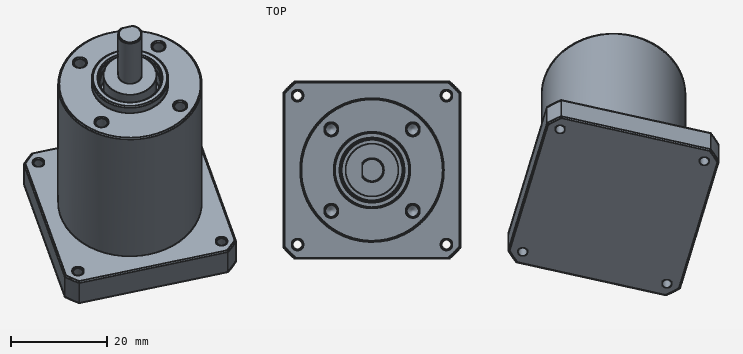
import cadquery as cq
import math

flange_width = 37.0
flange_height = 7.0
flange_corner_diameter = 49.0
flange_edge_chamfer = 0.3
flange_hole_spacing = 31.0
flange_hole_diameter = 2.01
flange_hole_mouth_diameter = 2.5

body_diameter = 30.0
body_height = 37.5
body_chamfer = 0.3
boss_diameter = 16.0
boss_height = 2.0
boss_chamfer = 0.3

seat_diameter = 13.0
seat_depth = 1.7
seat_mouth_diameter = 13.6
bore_diameter = 12.6
bore_depth = 5.0

face_hole_circle_diameter = 24.0
face_hole_count = 4
face_hole_first_angle = 45.0
face_hole_diameter = 2.46
face_hole_mouth_diameter = 3.0
face_hole_depth = 6.0
drill_point_angle = 118.0

shaft_diameter = 5.0
shaft_length = 13.0
shaft_chamfer = 0.2
shaft_flat_offset = 2.0
collar_diameter = 11.0
collar_rise = 1.0

body_top = flange_height + body_height
boss_top = body_top + boss_height
seat_floor = boss_top - seat_depth
bore_floor = boss_top - bore_depth
collar_top = boss_top + collar_rise
shaft_top = collar_top + shaft_length


def cylinder(diameter, bottom, top):
    return cq.Workplane("XY").workplane(offset=bottom).circle(diameter / 2).extrude(top - bottom)


def mouth_cone(diameter, mouth_diameter, top):
    """45-degree cone that breaks the edge of a hole opening at the given height."""
    mouth_radius = mouth_diameter / 2
    depth = (mouth_diameter - diameter) / 2
    cone = cq.Solid.makeCone(mouth_radius, mouth_radius - depth, depth, dir=cq.Vector(0, 0, -1))
    return cq.Workplane(cone).translate((0, 0, top))


def make_flange():
    """Square plate whose corners are turned to a round, with chamfered top and bottom edges."""
    plate = cq.Workplane("XY").rect(flange_width, flange_width).extrude(flange_height)
    plate = plate.intersect(cylinder(flange_corner_diameter, 0, flange_height))
    return plate.faces("<Z or >Z").edges().chamfer(flange_edge_chamfer)


def make_flange_hole():
    """Through hole with a chamfered mouth."""
    hole = cylinder(flange_hole_diameter, 0, flange_height)
    return hole.union(mouth_cone(flange_hole_diameter, flange_hole_mouth_diameter, flange_height))


def make_face_hole():
    """Blind drilled hole with a conical bottom and a chamfered mouth."""
    radius = face_hole_diameter / 2
    point_depth = radius / math.tan(math.radians(drill_point_angle / 2))
    bottom = body_top - face_hole_depth
    point = cq.Solid.makeCone(radius, 0, point_depth, dir=cq.Vector(0, 0, -1))
    hole = cylinder(face_hole_diameter, bottom, body_top)
    hole = hole.union(cq.Workplane(point).translate((0, 0, bottom)))
    return hole.union(mouth_cone(face_hole_diameter, face_hole_mouth_diameter, body_top))


def make_housing():
    """Flange, gearbox body and pilot boss in one piece, with the bore and all holes."""
    body = cylinder(body_diameter, flange_height, body_top).faces(">Z").edges().chamfer(body_chamfer)
    boss = cylinder(boss_diameter, body_top, boss_top).faces(">Z").edges().chamfer(boss_chamfer)
    housing = make_flange().union(body).union(boss)

    housing = housing.cut(cylinder(bore_diameter, bore_floor, boss_top))
    housing = housing.cut(cylinder(seat_diameter, seat_floor, boss_top))
    housing = housing.cut(mouth_cone(seat_diameter, seat_mouth_diameter, boss_top))

    flange_hole = make_flange_hole()
    for x_side in (-1, 1):
        for y_side in (-1, 1):
            offset = (x_side * flange_hole_spacing / 2, y_side * flange_hole_spacing / 2, 0)
            housing = housing.cut(flange_hole.translate(offset))

    face_hole = make_face_hole().translate((face_hole_circle_diameter / 2, 0, 0))
    for index in range(face_hole_count):
        angle = face_hole_first_angle + index * 360 / face_hole_count
        housing = housing.cut(face_hole.rotate((0, 0, 0), (0, 0, 1), angle))
    return housing


def make_output_shaft():
    """D-shaped shaft rising from a collar that stands on the bore floor."""
    collar = cylinder(collar_diameter, bore_floor, collar_top)
    shaft = cylinder(shaft_diameter, collar_top, shaft_top).faces(">Z").edges().chamfer(shaft_chamfer)
    flat_cut = (
        cq.Workplane("XY")
        .workplane(offset=collar_top)
        .center(-shaft_flat_offset - shaft_diameter / 2, 0)
        .rect(shaft_diameter, 2 * shaft_diameter)
        .extrude(shaft_length)
    )
    return collar.union(shaft.cut(flat_cut))


housing = make_housing()
output_shaft = make_output_shaft()

result = cq.Compound.makeCompound([housing.val(), output_shaft.val()])